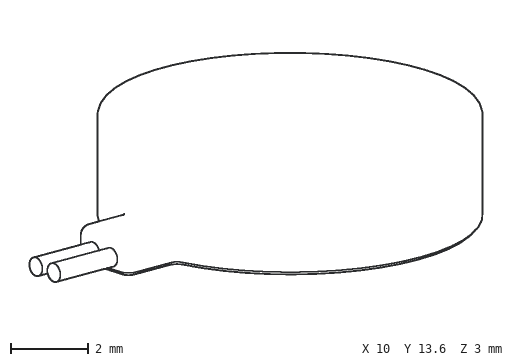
import cadquery as cq

housing_diameter = 10.0
housing_height = 3.0
top_edge_radius = 0.2
bottom_chamfer = 0.1

outlet_width = 2.0
outlet_height = 1.0
outlet_reach = 1.6
outlet_edge_radius = 0.3
junction_radius = 0.2

wire_diameter = 0.5
wire_length = 2.0
wire_spacing = 0.7
wire_axis_height = 0.41

housing_radius = housing_diameter / 2
outlet_front_y = -(housing_radius + outlet_reach)


def make_disc():
    disc = cq.Workplane("XY").circle(housing_radius).extrude(housing_height)
    return disc.faces(">Z").edges().fillet(top_edge_radius)


def make_outlet():
    """Block from the housing axis out to the outlet face, rounded on its exposed edges."""
    length = -outlet_front_y
    block = cq.Workplane("XY").box(outlet_width, length, outlet_height, centered=(True, False, False))
    block = block.translate((0, outlet_front_y, 0))
    block = block.faces("<Y").edges("|Z").fillet(outlet_edge_radius)
    return block.faces(">Z").edges("not >Y").fillet(outlet_edge_radius)


def make_housing():
    body = make_disc().union(make_outlet())
    wall_zone = cq.selectors.BoxSelector(
        (-outlet_width, -housing_radius - junction_radius / 2, bottom_chamfer),
        (outlet_width, -housing_radius + junction_radius, outlet_height + junction_radius),
    )
    body = body.edges(wall_zone).fillet(junction_radius)
    return body.faces("<Z").edges().chamfer(bottom_chamfer)


def make_wire(x):
    """Straight round wire running in -Y from the outlet face."""
    wire_end = cq.Workplane("XZ", origin=(x, outlet_front_y, wire_axis_height))
    return wire_end.circle(wire_diameter / 2).extrude(wire_length)


housing = make_housing()
wires = [make_wire(side * wire_spacing / 2) for side in (-1, 1)]

result = cq.Compound.makeCompound([housing.solids().val(), *[wire.val() for wire in wires]])